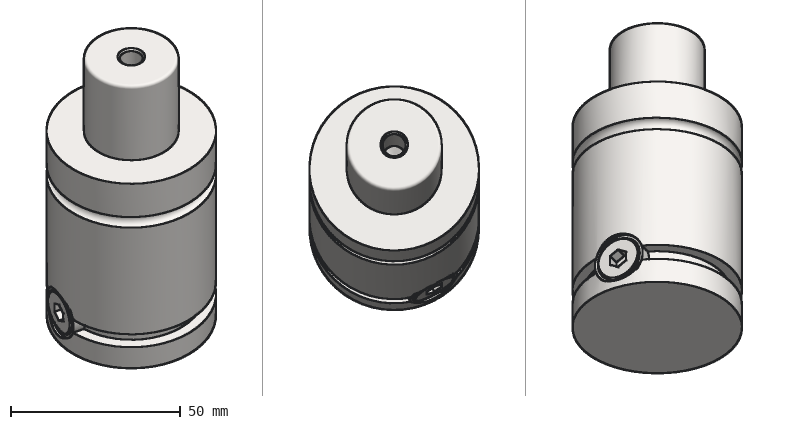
import cadquery as cq
import math

total_height = 98.0
body_diameter = 50.0
body_height = 70.1
rod_diameter = 28.0
rod_edge_size = 1.0

round_groove_top = 57.4
round_groove_width = 4.0

square_groove_bottom = 8.0
square_groove_top = 12.9
square_groove_diameter = 43.0

rod_hole_diameter = 6.8
rod_hole_mouth_diameter = 8.0
rod_hole_depth = 14.7
drill_point_angle = 118.0

port_height = 10.5
port_diameter = 16.0
port_floor_depth = 1.1
plug_diameter = 14.0
plug_face_depth = 0.6
plug_chamfer = 0.5
socket_corner_diameter = 6.1
socket_depth = 3.9

body_radius = body_diameter / 2
port_root_distance = square_groove_diameter / 4
port_floor_distance = body_radius - port_floor_depth
plug_face_distance = body_radius - plug_face_depth


def port_plane(distance):
    """Plane facing -Y at the given distance in front of the main axis."""
    return cq.Workplane("XZ", origin=(0, -distance, port_height))


def make_body():
    body = cq.Workplane("XY").circle(body_radius).extrude(body_height)
    groove_radius = round_groove_width / 2
    round_groove = (
        cq.Workplane("XZ")
        .center(body_radius, round_groove_top - groove_radius)
        .circle(groove_radius)
        .revolve(360, (-body_radius, 0), (-body_radius, 1))
    )
    square_groove = (
        cq.Workplane("XY", origin=(0, 0, square_groove_bottom))
        .circle(body_diameter)
        .circle(square_groove_diameter / 2)
        .extrude(square_groove_top - square_groove_bottom)
    )
    return body.cut(round_groove).cut(square_groove)


def make_rod():
    return (
        cq.Workplane("XY", origin=(0, 0, body_height))
        .circle(rod_diameter / 2)
        .extrude(total_height - body_height)
        .faces(">Z")
        .edges()
        .fillet(rod_edge_size)
    )


def make_rod_hole():
    """Blind drilled hole with a 45 degree countersunk mouth and a conical end."""
    hole_radius = rod_hole_diameter / 2
    mouth_radius = rod_hole_mouth_diameter / 2
    mouth_bottom = total_height - (mouth_radius - hole_radius)
    hole_bottom = total_height - rod_hole_depth
    point_length = hole_radius / math.tan(math.radians(drill_point_angle / 2))
    profile = [
        (0, total_height),
        (mouth_radius, total_height),
        (hole_radius, mouth_bottom),
        (hole_radius, hole_bottom),
        (0, hole_bottom - point_length),
    ]
    return cq.Workplane("XZ").polyline(profile).close().revolve(360, (0, 0), (0, 1))


def add_port(part):
    """Bridge the square groove with a round boss and face it off below the body surface."""
    boss_length = port_floor_distance - port_root_distance
    boss = port_plane(port_root_distance).circle(port_diameter / 2).extrude(boss_length)
    recess = port_plane(port_floor_distance).circle(port_diameter / 2).extrude(body_radius)
    return part.union(boss).cut(recess)


def add_plug(part):
    plug = (
        port_plane(port_root_distance)
        .circle(plug_diameter / 2)
        .extrude(plug_face_distance - port_root_distance)
        .faces("<Y")
        .edges()
        .chamfer(plug_chamfer)
    )
    socket = (
        port_plane(plug_face_distance)
        .transformed(rotate=(0, 0, 90))
        .polygon(6, socket_corner_diameter)
        .extrude(-socket_depth)
    )
    return part.union(plug).cut(socket)


cylinder = make_body().union(make_rod()).cut(make_rod_hole())
result = add_plug(add_port(cylinder))